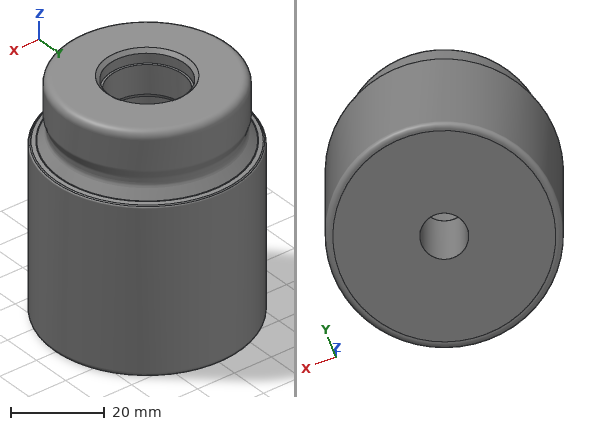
import cadquery as cq
import math

sleeve_radius = 25.4
sleeve_bottom_round = 1.2
seat_radius = 23.75
rim_inner_height = 43.8
rim_outer_radius = 24.75
rim_slope = math.radians(11.5)
rim_bevel_width = 0.3
rim_bevel_drop = 0.2
sleeve_wall_top = 43.0

core_height = 60.33
head_radius = 22.225
head_round = 2.0
head_bottom = 50.7

neck_radius = 21.5
neck_top = 48.0
neck_bottom = 47.1
undercut_angle = math.radians(22)
undercut_round = 1.8
shoulder_angle = math.radians(38)
shoulder_round = 1.85
shoulder_radius = 23.55

mouth_radius = 10.1
mouth_chamfer = 0.93
mouth_depth = 3.45
upper_bore_radius = 9.55
upper_bore_depth = 11.0
chamber_radius = 9.85
chamber_taper = 0.75
floor_depth = 30.0
floor_rim_radius = 9.05
floor_slope = math.radians(18)
throat_radius = 6.0
outlet_radius = 5.2
throat_length = 2.5


def arc_points(center, radius, start_angle, end_angle):
    """Middle and end points of an arc, angles in radians."""
    middle_angle = (start_angle + end_angle) / 2
    return [
        (center[0] + radius * math.cos(angle), center[1] + radius * math.sin(angle))
        for angle in (middle_angle, end_angle)
    ]


def revolve_profile(profile):
    """Close an open radius-height profile and spin it about the Z axis."""
    return profile.close().revolve(360, (0, 0, 0), (0, 1, 0))


def make_sleeve():
    rim_outer_height = rim_inner_height - (rim_outer_radius - seat_radius) * math.tan(rim_slope)
    bevel_end_radius = rim_outer_radius + rim_bevel_width
    bevel_end_height = rim_outer_height - rim_bevel_drop
    profile = (
        cq.Workplane("XZ")
        .moveTo(seat_radius, 0)
        .lineTo(sleeve_radius - sleeve_bottom_round, 0)
        .threePointArc(*arc_points(
            (sleeve_radius - sleeve_bottom_round, sleeve_bottom_round), sleeve_bottom_round,
            -math.pi / 2, 0))
        .lineTo(sleeve_radius, sleeve_wall_top)
        .tangentArcPoint((bevel_end_radius, bevel_end_height), relative=False)
        .lineTo(rim_outer_radius, rim_outer_height)
        .lineTo(seat_radius, rim_inner_height)
    )
    return revolve_profile(profile)


def make_core_blank():
    shoulder_start_radius = neck_radius + shoulder_round * (1 - math.cos(shoulder_angle))
    shoulder_start_height = neck_bottom - shoulder_round * math.sin(shoulder_angle)
    shoulder_width = shoulder_radius - shoulder_start_radius
    shoulder_end_height = shoulder_start_height - shoulder_width / math.tan(shoulder_angle)
    undercut_width = undercut_round * (1 - math.cos(undercut_angle))
    undercut_reach = undercut_round * math.sin(undercut_angle)

    profile = (
        cq.Workplane("XZ")
        .lineTo(seat_radius, 0)
        .lineTo(seat_radius, rim_inner_height)
        .lineTo(shoulder_radius, shoulder_end_height)
        .lineTo(shoulder_start_radius, shoulder_start_height)
        .threePointArc(*arc_points(
            (neck_radius + shoulder_round, neck_bottom), shoulder_round,
            math.pi + shoulder_angle, math.pi))
        .lineTo(neck_radius, neck_top)
        .threePointArc(*arc_points(
            (neck_radius + undercut_round, neck_top), undercut_round,
            math.pi, math.pi - undercut_angle))
        .lineTo(head_radius - undercut_width, head_bottom - undercut_reach)
        .threePointArc(*arc_points(
            (head_radius - undercut_round, head_bottom), undercut_round,
            -undercut_angle, 0))
        .lineTo(head_radius, core_height)
        .lineTo(0, core_height)
    )
    return revolve_profile(profile).faces(">Z").edges().fillet(head_round)


def make_hole():
    mouth_floor = core_height - mouth_depth
    upper_bore_bottom = core_height - upper_bore_depth
    floor_height = core_height - floor_depth
    floor_edge_height = floor_height + (chamber_radius - floor_rim_radius) * math.tan(floor_slope)

    throat_angle = math.atan((throat_radius - outlet_radius) / throat_length)
    floor_round = (floor_rim_radius - throat_radius) / math.cos(throat_angle)
    throat_top = floor_height - floor_round * (1 - math.sin(throat_angle))

    profile = (
        cq.Workplane("XZ")
        .lineTo(outlet_radius, 0)
        .lineTo(outlet_radius, throat_top - throat_length)
        .lineTo(throat_radius, throat_top)
        .threePointArc(*arc_points(
            (floor_rim_radius, floor_height - floor_round), floor_round,
            math.pi - throat_angle, math.pi / 2))
        .lineTo(chamber_radius, floor_edge_height)
        .lineTo(chamber_radius, upper_bore_bottom - chamber_taper)
        .lineTo(upper_bore_radius, upper_bore_bottom)
        .lineTo(upper_bore_radius, mouth_floor)
        .lineTo(mouth_radius, mouth_floor)
        .lineTo(mouth_radius, core_height - mouth_chamfer)
        .lineTo(mouth_radius + mouth_chamfer, core_height)
        .lineTo(0, core_height)
    )
    return revolve_profile(profile)


sleeve = make_sleeve()
core = make_core_blank().cut(make_hole())
result = cq.Compound.makeCompound([sleeve.val(), core.val()])